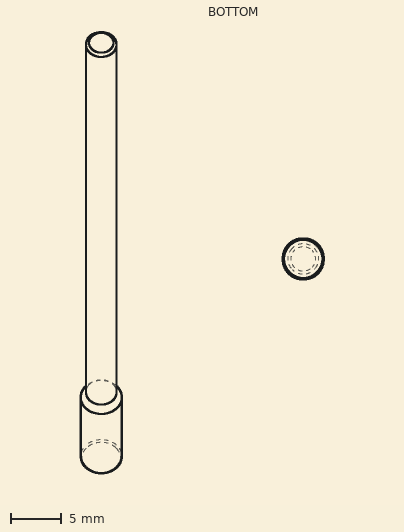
import cadquery as cq
import math

total_length = 70.0
shank_diameter = 3.0
head_diameter = 4.05

head_length = 11.05
taper_height = 0.85
foot_chamfer_height = 0.245
foot_chamfer_angle = 30.0
foot_chamfer_width = foot_chamfer_height * math.tan(math.radians(foot_chamfer_angle))
shank_chamfer = 0.3


def make_head():
    """Cylindrical head with a chamfered foot and a conical shoulder up to the shank."""
    head_radius = head_diameter / 2
    shank_radius = shank_diameter / 2
    profile = (
        cq.Workplane("XZ")
        .moveTo(0, 0)
        .lineTo(head_radius - foot_chamfer_width, 0)
        .lineTo(head_radius, foot_chamfer_height)
        .lineTo(head_radius, head_length - taper_height)
        .lineTo(shank_radius, head_length)
        .lineTo(0, head_length)
        .close()
    )
    return profile.revolve(360, (0, 0, 0), (0, 1, 0))


def make_shank():
    """Round shank with a chamfered free end."""
    return (
        cq.Workplane("XY")
        .workplane(offset=head_length)
        .circle(shank_diameter / 2)
        .extrude(total_length - head_length)
        .faces(">Z")
        .chamfer(shank_chamfer)
    )


head = make_head()
shank = make_shank()

result = cq.Compound.makeCompound([head.val(), shank.val()])